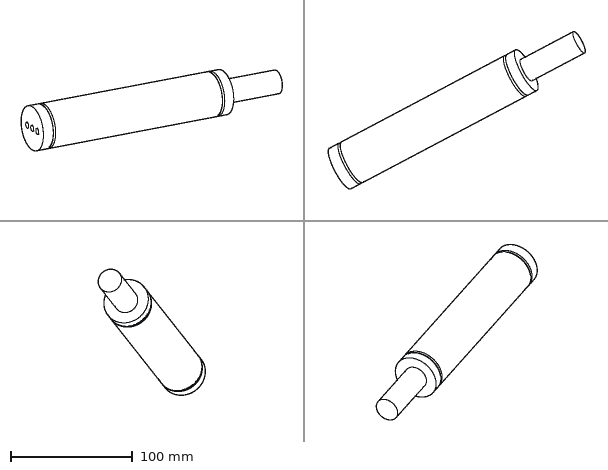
import cadquery as cq
import math

total_length = 230.0
body_diameter = 38.0
rod_diameter = 20.0
rod_length = 50.8

groove_width = 2.0
front_cap_length = 9.5
rear_cap_length = 8.5

port_diameter = 5.0
port_spacing = 8.5
port_depth = 9.2
drill_point_angle = 118.0

body_length = total_length - rod_length
body_radius = body_diameter / 2
rod_radius = rod_diameter / 2
groove_radius = groove_width / 2
port_radius = port_diameter / 2


def cut_groove(body, start):
    """Cut a semicircular ring groove whose front edge lies at Y = start."""
    centre = (body_radius, start + groove_radius)
    section = cq.Workplane("XY").center(*centre).circle(groove_radius)
    ring = section.revolve(360, (-body_radius, 0), (-body_radius, 1))
    return body.cut(ring)


def cut_port(body, x):
    """Cut a blind drilled hole with a conical bottom into the front face at x."""
    point_length = port_radius / math.tan(math.radians(drill_point_angle / 2))
    half_profile = [
        (x, 0),
        (x + port_radius, 0),
        (x + port_radius, port_depth),
        (x, port_depth + point_length),
    ]
    drill = cq.Workplane("XY").polyline(half_profile).close().revolve(360, (x, 0), (x, 1))
    return body.cut(drill)


half_outline = [
    (0, 0),
    (body_radius, 0),
    (body_radius, body_length),
    (rod_radius, body_length),
    (rod_radius, total_length),
    (0, total_length),
]
result = cq.Workplane("XY").polyline(half_outline).close().revolve(360, (0, 0), (0, 1))

for groove_start in (front_cap_length, body_length - rear_cap_length - groove_width):
    result = cut_groove(result, groove_start)

for port_x in (-port_spacing, 0, port_spacing):
    result = cut_port(result, port_x)